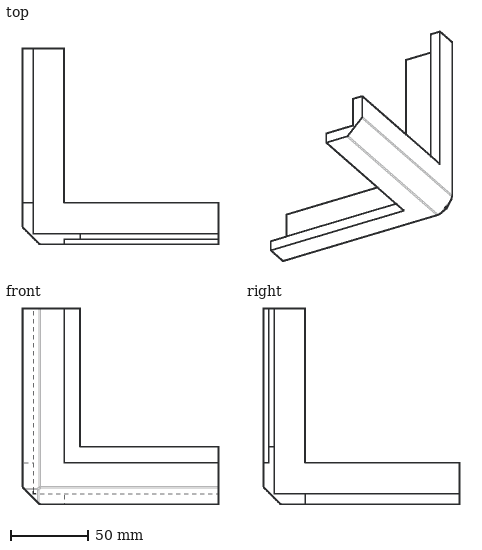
import cadquery as cq

size = 127.0
wall = 7.0
leg_width = 27.0
lip_width = 37.3
lip_setback = 3.3
edge_chamfer = 11.0
corner_reach = 21.1
blend_radius = 1.3


def block(x, y, z, x_end=size, y_end=size):
    """Block from a low corner up to the given ends and the full height."""
    return cq.Workplane("XY").box(
        x_end - x, y_end - y, size - z, centered=False
    ).translate((x, y, z))


def borders_bevel(edge):
    """True for edges along a bevel or the corner facet, clear of the far faces."""
    center = edge.Center()
    on_far_face = max(center.x, center.y, center.z) > size - edge_chamfer
    near_an_axis = sorted((center.x, center.y, center.z))[1] < leg_width
    return near_an_axis and not on_far_face


def bevel_cutter(plane):
    """Triangular prism that bevels the cube edge rising from the given plane."""
    return (
        cq.Workplane(plane)
        .polyline([(0, 0), (edge_chamfer, 0), (0, edge_chamfer)])
        .close()
        .extrude(size)
    )


def corner_cutter():
    """Block behind the facet plane x + y + z = corner_reach."""
    facet_center = (corner_reach / 3,) * 3
    facet_plane = cq.Plane(origin=facet_center, normal=(-1, -1, -1))
    return cq.Workplane(facet_plane).rect(size, size).extrude(size)


def outer_body():
    """Cube with its three edges at the origin bevelled and blended."""
    body = block(0, 0, 0)
    for plane in ("XY", "YZ", "ZX"):
        body = body.cut(bevel_cutter(plane))
    body = body.cut(corner_cutter())
    return body.edges().filter(borders_bevel).fillet(blend_radius)


frame = outer_body().cut(block(wall, wall, wall))

frame = frame.cut(block(lip_width, 0, lip_width, y_end=wall))
frame = frame.cut(block(0, leg_width, leg_width, x_end=wall))
frame = frame.cut(block(leg_width, leg_width, 0))

result = frame.cut(block(leg_width, 0, leg_width, y_end=lip_setback))